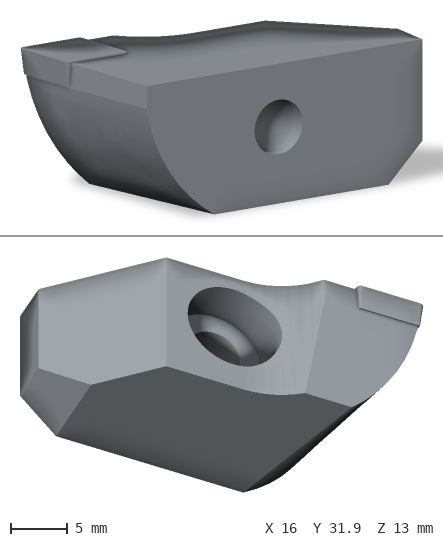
import cadquery as cq
import math

overall_width = 16.0
overall_length = 31.92
overall_height = 13.0

lead_angle = math.radians(10)
insert_width = 6.35
insert_side = insert_width / math.cos(lead_angle)
insert_thickness = 2.38
insert_corner_radius = 0.4
relief_degrees = 7
relief_slope = math.tan(math.radians(relief_degrees))
corner_drop = insert_corner_radius * (math.tan(lead_angle) + 1 / math.cos(lead_angle) - 1)

body_height = 12.8
nose_width = 15.55
clamp_face_width = 12.5
rear_width = 4.0
slant_start_y = overall_length - (clamp_face_width - rear_width)
scoop_start_y = 15.95
scoop_radius = 8.2
nose_round_radius = 0.4
nose_wall_bottom_z = 10.2

front_y_back = 3.23
front_y_nose = front_y_back - nose_width * math.tan(lead_angle)
band_bottom_back = 10.7
band_bottom_nose = 10.43
heel_y_back = 10.3
heel_y_nose = 5.9
heel_radius_back = 15.5
heel_radius_nose = 17.5
rear_chamfer = 3.5

hole_y = 16.95
hole_z = 7.0
hole_diameter = 5.0
counterbore_diameter = 8.8
counterbore_depth = 4.0


def side_section(x, front_y, band_bottom, heel_y, heel_radius):
    """Closed side outline of the holder in the plane at x."""
    return (
        cq.Workplane("YZ", origin=(x, 0, 0))
        .moveTo(front_y, body_height)
        .lineTo(front_y, band_bottom)
        .radiusArc((heel_y, 0), -heel_radius)
        .lineTo(overall_length - rear_chamfer, 0)
        .lineTo(overall_length, rear_chamfer)
        .lineTo(overall_length, body_height)
        .close()
        .val()
    )


def side_blank():
    """Ruled blank whose front slopes at the lead angle and whose heel radius changes along X."""
    nose = side_section(-nose_width, front_y_nose, band_bottom_nose, heel_y_nose, heel_radius_nose)
    back = side_section(0, front_y_back, band_bottom_back, heel_y_back, heel_radius_back)
    return cq.Workplane(cq.Solid.makeLoft([nose, back], True))


def plan_prism():
    """Holder outline along Z: nose, small round blending into a scoop, clamp face and slanted rear."""
    sweep_radius = scoop_radius + nose_round_radius
    scoop_angle = math.acos(1 - (nose_width - clamp_face_width) / sweep_radius)
    scoop_end_x = -clamp_face_width - scoop_radius * (1 - math.cos(scoop_angle))
    scoop_end_y = scoop_start_y - scoop_radius * math.sin(scoop_angle)
    nose_end_y = scoop_start_y - sweep_radius * math.sin(scoop_angle)
    return (
        cq.Workplane("XY")
        .lineTo(-nose_width, 0)
        .lineTo(-nose_width, nose_end_y)
        .radiusArc((scoop_end_x, scoop_end_y), nose_round_radius)
        .radiusArc((-clamp_face_width, scoop_start_y), -scoop_radius)
        .lineTo(-clamp_face_width, slant_start_y)
        .lineTo(-rear_width, overall_length)
        .lineTo(0, overall_length)
        .close()
        .extrude(body_height)
    )


def nose_relief():
    """Wedge that leans the nose wall inwards below its upright strip."""
    return (
        cq.Workplane("XZ")
        .moveTo(-nose_width, nose_wall_bottom_z)
        .lineTo(-nose_width, 0)
        .lineTo(-nose_width + nose_wall_bottom_z * relief_slope, 0)
        .close()
        .extrude(-scoop_start_y)
    )


def screw_hole():
    """Through hole with a counterbore sunk from the clamp face."""
    axis = cq.Workplane("YZ", origin=(-overall_width, hole_y, hole_z))
    sink_length = overall_width - clamp_face_width + counterbore_depth
    through = axis.circle(hole_diameter / 2).extrude(overall_width)
    return through.union(axis.circle(counterbore_diameter / 2).extrude(sink_length))


def insert_outline():
    """Sharp rhombus at the level of the insert's top face."""
    rise = insert_width * math.tan(lead_angle)
    return (
        cq.Workplane("XY", origin=(-overall_width, -corner_drop, overall_height))
        .lineTo(insert_width, rise)
        .lineTo(insert_width, rise + insert_side)
        .lineTo(0, insert_side)
        .close()
    )


def make_insert():
    """Insert with rounded corners and relief on all four flanks."""
    straight = insert_outline().extrude(-insert_thickness).edges("|Z").fillet(insert_corner_radius)
    top_edge = straight.faces(">Z").wires().toPending().workplane()
    return top_edge.extrude(-insert_thickness, combine=False, taper=relief_degrees)


def insert_pocket():
    """Seat with sharp corners that fits the insert's flanks."""
    return insert_outline().extrude(-insert_thickness, taper=relief_degrees)


def make_holder():
    """Holder block with its leaning nose wall, screw hole and insert seat."""
    block = side_blank().intersect(plan_prism())
    return block.cut(nose_relief()).cut(screw_hole()).cut(insert_pocket())


holder = make_holder()
insert = make_insert()

result = cq.Compound.makeCompound([holder.val(), insert.val()])